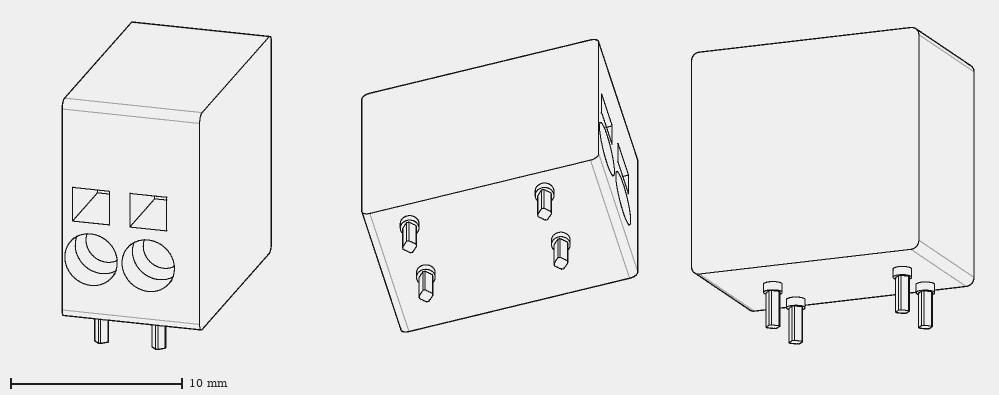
import cadquery as cq

TOTAL_HEIGHT = 16.1
HOUSING_WIDTH = 8.4
HOUSING_DEPTH = 14.4
EDGE_RADIUS = 0.5

COLLAR_DIAMETER = 1.1
COLLAR_HEIGHT = 0.5
PIN_SIDE = 0.68
PIN_CHAMFER = 0.1
PIN_LENGTH = 2.1

HOUSING_BOTTOM = COLLAR_HEIGHT + PIN_LENGTH
HOUSING_HEIGHT = TOTAL_HEIGHT - HOUSING_BOTTOM

POLE_COUNT = 2
POLE_PITCH = 3.5
FIRST_ENTRY_X = 1.77
FIRST_PIN_X = 1.3
PIN_ROWS_Y = (3.65, HOUSING_DEPTH - 2.55)

ENTRY_DIAMETER = 3.2
ENTRY_FLOOR_DIAMETER = 2.5
ENTRY_BORE_DEPTH = 2.1
ENTRY_CONE_DEPTH = 1.0
ENTRY_Z = HOUSING_BOTTOM + 3.82

POCKET_WIDTH = 2.25
POCKET_HEIGHT = 2.1
POCKET_DEPTH = 4.99
POCKET_Z = HOUSING_BOTTOM + 7.15


def make_wire_entry(x):
    """Round bore from the front face, narrowing through a cone to a flat floor."""
    bore = cq.Solid.makeCylinder(
        ENTRY_DIAMETER / 2,
        ENTRY_BORE_DEPTH,
        pnt=cq.Vector(x, 0, ENTRY_Z),
        dir=cq.Vector(0, 1, 0),
    )
    cone = cq.Solid.makeCone(
        ENTRY_DIAMETER / 2,
        ENTRY_FLOOR_DIAMETER / 2,
        ENTRY_CONE_DEPTH,
        pnt=cq.Vector(x, ENTRY_BORE_DEPTH, ENTRY_Z),
        dir=cq.Vector(0, 1, 0),
    )
    return cq.Workplane(bore).union(cq.Workplane(cone))


def make_release_pocket(x):
    """Rectangular block running from the front face into the housing."""
    return (
        cq.Workplane("XY")
        .box(POCKET_WIDTH, POCKET_DEPTH, POCKET_HEIGHT, centered=(True, False, True))
        .translate((x, 0, POCKET_Z))
    )


def make_housing():
    """Block with rounded edges along X and one entry and pocket per pole."""
    body = (
        cq.Workplane("XY")
        .box(HOUSING_WIDTH, HOUSING_DEPTH, HOUSING_HEIGHT, centered=False)
        .edges("|X")
        .fillet(EDGE_RADIUS)
        .translate((0, 0, HOUSING_BOTTOM))
    )
    for pole in range(POLE_COUNT):
        x = FIRST_ENTRY_X + pole * POLE_PITCH
        body = body.cut(make_wire_entry(x))
        body = body.cut(make_release_pocket(x))
    return body


def make_pin(x, y):
    """Chamfered square pin, turned 45 degrees, under a round collar."""
    shank = (
        cq.Workplane("XY")
        .rect(PIN_SIDE, PIN_SIDE)
        .extrude(PIN_LENGTH)
        .edges("|Z")
        .chamfer(PIN_CHAMFER)
        .rotate((0, 0, 0), (0, 0, 1), 45)
    )
    collar = (
        cq.Workplane("XY")
        .workplane(offset=PIN_LENGTH)
        .circle(COLLAR_DIAMETER / 2)
        .extrude(COLLAR_HEIGHT)
    )
    return shank.union(collar).translate((x, y, 0))


housing = make_housing()
pins = []
for pole in range(POLE_COUNT):
    for row_y in PIN_ROWS_Y:
        pins.append(make_pin(FIRST_PIN_X + pole * POLE_PITCH, row_y))

result = cq.Compound.makeCompound([housing.val(), *[pin.val() for pin in pins]])